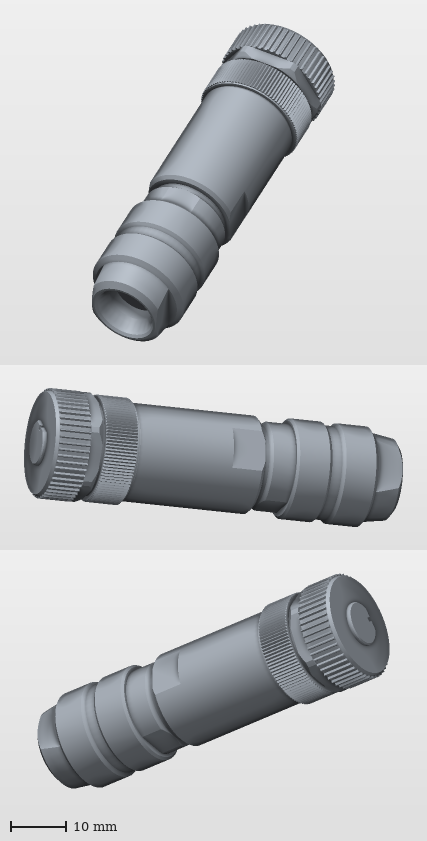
import cadquery as cq
import math

LENGTH = 68.0
OVERLAP = 0.5

NOSE_TIP_RADIUS = 6.35
NOSE_FRONT_RADIUS = 7.5
NOSE_BASE_RADIUS = 8.2
NOSE_CHAMFER_LENGTH = 0.85
NOSE_END_Y = 5.2
NOSE_ACROSS_FLATS = 13.0
BORE_MOUTH_RADIUS = 5.95
BORE_RADIUS = 5.5
BORE_FLOOR_RADIUS = 4.5
BORE_MOUTH_DEPTH = 0.45
BORE_TAPER_END_Y = 3.4
BORE_FLOOR_Y = 5.8

BAND_RADIUS = 9.2
BAND_START_Y = 6.0
GROOVE_RADIUS = 8.6
GROOVE_START_Y = 12.3
GROOVE_END_Y = 14.2
GROOVE_CHAMFER = BAND_RADIUS - GROOVE_RADIUS
BAND_END_Y = 21.0
BAND_END_CHAMFER = 0.45

COLLAR_RADIUS = 8.15
COLLAR_ACROSS_FLATS = 15.1
COLLAR_END_Y = 25.85
NECK_RADIUS = 7.5
NECK_STEP_RADIUS = 7.4
NECK_STEP_Y = 26.5
COLLAR_CHAMFER = COLLAR_RADIUS - NECK_RADIUS

BODY_RADIUS = 9.0
BODY_START_Y = 26.9
BODY_CHAMFER = 0.6
BODY_ACROSS_FLATS = 16.3
BODY_FLAT_END_Y = 33.15
BODY_END_Y = 51.4
BODY_END_CHAMFER_LENGTH = 0.4
BODY_END_CHAMFER_DEPTH = 0.2

RING_RADIUS = 9.8
RING_ROOT_RADIUS = 9.45
RING_TEETH = 100
RING_START_Y = BODY_END_Y
RING_END_Y = 57.7
RING_SHOULDER_WIDTH = 0.3
RING_CHAMFER = 0.2
RING_TIP_SHARE = 0
RING_ROOT_SHARE = 0
THROAT_RADIUS = 8.8

NUT_RADIUS = 10.1
NUT_ROOT_RADIUS = 9.7
NUT_TEETH = 52
NUT_TOOTH_RADIUS = 10.095
NUT_TIP_SHARE = 0.15
NUT_ROOT_SHARE = 0.55
TEETH_END_Y = LENGTH - 1.4
HEX_ACROSS_FLATS = 18.0
HEX_START_Y = 58.25
HEX_CHAMFER_LENGTH = 0.9
HEX_CHAMFER_RADIUS = 9.3
KNURL_START_Y = 60.7
NUT_FACE_Y = LENGTH - 0.75
NUT_FACE_CHAMFER_DEPTH = 0.3
NUT_FACE_CHAMFER_LENGTH = 0.6

INSERT_RADIUS = 4.15
INSERT_CHAMFER = 0.25
INSERT_FLAT_DISTANCE = 3.32
INSERT_FLAT_ANGLE = 135.0
KEY_WIDTH = 0.85
KEY_DEPTH = 0.9


def turned(outline):
    """Solid of revolution about Y from (radius, y) points that start and end on the axis."""
    return cq.Workplane("ZY").polyline(outline).close().revolve(360, (0, 0, 0), (0, 1, 0))


def along_y(start_y):
    """Workplane across the axis at start_y, with local x = X, local y = Z, extruding toward -Y."""
    return cq.Workplane("XZ", origin=(0, start_y, 0))


def slab(width_x, start_y, end_y, width_z):
    """Box centred on the axis between start_y and end_y."""
    centre_y = (start_y + end_y) / 2
    return cq.Workplane("XY").box(width_x, end_y - start_y, width_z).translate((0, centre_y, 0))


def spread(middle, width):
    """The two ends of an angular span, or its single middle when the width is zero."""
    if width == 0:
        return [middle]
    return [middle - width / 2, middle + width / 2]


def knurled(tip_radius, root_radius, tip_share, root_share, teeth, start_y, end_y):
    """Toothed cylinder with a groove on the X axis.

    Tooth tip and groove floor take up the given shares of the pitch; a share of zero makes them sharp.
    """
    pitch = 2 * math.pi / teeth
    points = []
    for tooth in range(teeth):
        groove_angle = tooth * pitch
        tip_angle = groove_angle + pitch / 2
        for angle in spread(groove_angle, root_share * pitch):
            points.append((root_radius * math.cos(angle), root_radius * math.sin(angle)))
        for angle in spread(tip_angle, tip_share * pitch):
            points.append((tip_radius * math.cos(angle), tip_radius * math.sin(angle)))
    return along_y(end_y).polyline(points).close().extrude(end_y - start_y)


def nose():
    end_y = NOSE_END_Y + OVERLAP
    cone = turned([
        (0, 0),
        (NOSE_TIP_RADIUS, 0),
        (NOSE_FRONT_RADIUS, NOSE_CHAMFER_LENGTH),
        (NOSE_BASE_RADIUS, NOSE_END_Y),
        (NOSE_BASE_RADIUS, end_y),
        (0, end_y),
    ])
    return cone.intersect(slab(NOSE_ACROSS_FLATS, 0, end_y, 2 * BAND_RADIUS))


def cable_bore():
    return turned([
        (0, 0),
        (BORE_MOUTH_RADIUS, 0),
        (BORE_RADIUS, BORE_MOUTH_DEPTH),
        (BORE_FLOOR_RADIUS, BORE_TAPER_END_Y),
        (BORE_FLOOR_RADIUS, BORE_FLOOR_Y),
        (0, BORE_FLOOR_Y),
    ])


def clamping_nut():
    return turned([
        (0, NOSE_END_Y),
        (NOSE_BASE_RADIUS, NOSE_END_Y),
        (BAND_RADIUS, BAND_START_Y),
        (BAND_RADIUS, GROOVE_START_Y - GROOVE_CHAMFER),
        (GROOVE_RADIUS, GROOVE_START_Y),
        (GROOVE_RADIUS, GROOVE_END_Y),
        (BAND_RADIUS, GROOVE_END_Y + GROOVE_CHAMFER),
        (BAND_RADIUS, BAND_END_Y - BAND_END_CHAMFER),
        (BAND_RADIUS - BAND_END_CHAMFER, BAND_END_Y),
        (0, BAND_END_Y),
    ])


def collar():
    start_y = BAND_END_Y - OVERLAP
    end_y = BODY_START_Y + OVERLAP
    blank = turned([
        (0, start_y),
        (COLLAR_RADIUS, start_y),
        (COLLAR_RADIUS, COLLAR_END_Y - COLLAR_CHAMFER),
        (NECK_RADIUS, COLLAR_END_Y),
        (NECK_RADIUS, NECK_STEP_Y),
        (NECK_STEP_RADIUS, NECK_STEP_Y),
        (NECK_STEP_RADIUS, end_y),
        (0, end_y),
    ])
    return blank.intersect(slab(2 * BAND_RADIUS, start_y, end_y, COLLAR_ACROSS_FLATS))


def sleeve_body():
    end_y = RING_START_Y + OVERLAP
    tube = turned([
        (0, BODY_START_Y),
        (BODY_RADIUS - BODY_CHAMFER, BODY_START_Y),
        (BODY_RADIUS, BODY_START_Y + BODY_CHAMFER),
        (BODY_RADIUS, BODY_END_Y - BODY_END_CHAMFER_LENGTH),
        (BODY_RADIUS - BODY_END_CHAMFER_DEPTH, BODY_END_Y),
        (BODY_RADIUS - BODY_END_CHAMFER_DEPTH, end_y),
        (0, end_y),
    ])
    flat_zone = slab(2 * BAND_RADIUS, BODY_START_Y, BODY_FLAT_END_Y, 2 * BAND_RADIUS)
    kept = slab(BODY_ACROSS_FLATS, BODY_START_Y, BODY_FLAT_END_Y, 2 * BAND_RADIUS)
    return tube.cut(flat_zone.cut(kept))


def knurled_ring():
    knurl_start_y = RING_START_Y + RING_SHOULDER_WIDTH
    knurl = knurled(
        RING_RADIUS,
        RING_ROOT_RADIUS,
        RING_TIP_SHARE,
        RING_ROOT_SHARE,
        RING_TEETH,
        knurl_start_y,
        RING_END_Y,
    )
    shoulder_end_y = knurl_start_y + OVERLAP
    shoulder = along_y(shoulder_end_y).circle(RING_ROOT_RADIUS).extrude(shoulder_end_y - RING_START_Y)
    envelope = turned([
        (0, RING_START_Y),
        (RING_RADIUS, RING_START_Y),
        (RING_RADIUS, RING_END_Y - RING_CHAMFER),
        (RING_RADIUS - RING_CHAMFER, RING_END_Y),
        (0, RING_END_Y),
    ])
    return knurl.union(shoulder).intersect(envelope)


def throat():
    end_y = HEX_START_Y + OVERLAP
    return along_y(end_y).circle(THROAT_RADIUS).extrude(end_y - RING_END_Y + OVERLAP)


def coupling_nut():
    across_corners = HEX_ACROSS_FLATS / math.cos(math.pi / 6)
    hexagon = along_y(KNURL_START_Y).polygon(6, across_corners).extrude(KNURL_START_Y - HEX_START_Y)
    hex_envelope = turned([
        (0, HEX_START_Y),
        (HEX_CHAMFER_RADIUS, HEX_START_Y),
        (NUT_RADIUS, HEX_START_Y + HEX_CHAMFER_LENGTH),
        (NUT_RADIUS, KNURL_START_Y),
        (0, KNURL_START_Y),
    ])
    knurl = knurled(
        NUT_TOOTH_RADIUS,
        NUT_ROOT_RADIUS,
        NUT_TIP_SHARE,
        NUT_ROOT_SHARE,
        NUT_TEETH,
        KNURL_START_Y,
        TEETH_END_Y,
    )
    rim = turned([
        (0, KNURL_START_Y),
        (NUT_ROOT_RADIUS, KNURL_START_Y),
        (NUT_ROOT_RADIUS, NUT_FACE_Y - NUT_FACE_CHAMFER_LENGTH),
        (NUT_ROOT_RADIUS - NUT_FACE_CHAMFER_DEPTH, NUT_FACE_Y),
        (0, NUT_FACE_Y),
    ])
    return hexagon.intersect(hex_envelope).union(knurl).union(rim)


def contact_insert():
    start_y = NUT_FACE_Y - OVERLAP
    height = LENGTH - start_y
    disc = along_y(LENGTH).circle(INSERT_RADIUS).extrude(height).faces(">Y").chamfer(INSERT_CHAMFER)
    beyond_flat = (
        along_y(LENGTH)
        .center(INSERT_FLAT_DISTANCE + INSERT_RADIUS / 2, 0)
        .rect(INSERT_RADIUS, 2 * INSERT_RADIUS)
        .extrude(height)
    )
    key_groove = (
        along_y(LENGTH)
        .center(INSERT_FLAT_DISTANCE, 0)
        .rect(2 * KEY_DEPTH, KEY_WIDTH)
        .extrude(height)
    )
    cutter = beyond_flat.union(key_groove).rotate((0, 0, 0), (0, 1, 0), -INSERT_FLAT_ANGLE)
    return disc.cut(cutter)


result = (
    nose()
    .union(clamping_nut())
    .union(collar())
    .union(sleeve_body())
    .union(knurled_ring())
    .union(throat())
    .union(coupling_nut())
    .union(contact_insert())
    .cut(cable_bore())
)